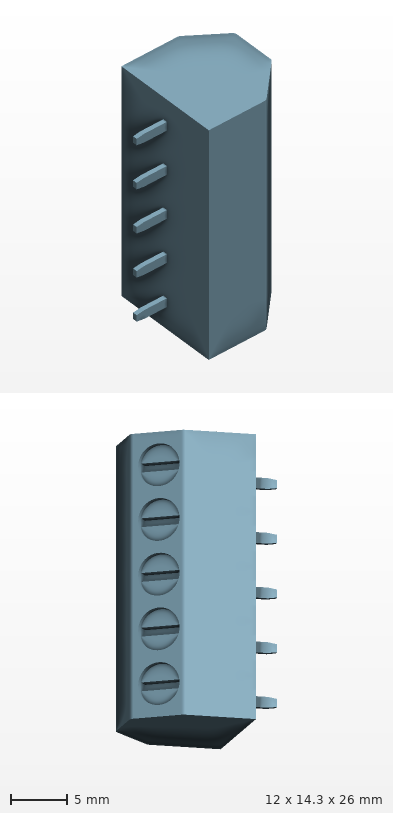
import cadquery as cq
import math

width = 12.0
length = 26.0
overall_depth = 14.3
depth = 10.8
corner_radius = 0.52
bevel_foot = 6.7
bevel_angle = 45.0
screw_bevel_foot = 6.68
screw_bevel_angle = 55.0

pole_count = 5
pole_pitch = 5.0

screw_diameter = 3.9
screw_y = 8.58
screw_recess = 0.68
slot_width = 0.8
slot_depth = 1.0

pin_length = overall_depth - depth
pin_thickness = 0.5
pin_height = 1.0
pin_tip_height = 0.73
pin_taper_length = 0.85

bevel_slope = math.radians(bevel_angle)
screw_bevel_slope = math.radians(screw_bevel_angle)


def make_housing():
    """Prism with two bevelled sides and rounded long edges at the bevels."""
    bevel_run = (depth - bevel_foot) / math.tan(bevel_slope)
    screw_bevel_run = (depth - screw_bevel_foot) / math.tan(screw_bevel_slope)
    outline = [
        (-width / 2, 0),
        (width / 2, 0),
        (width / 2, bevel_foot),
        (width / 2 - bevel_run, depth),
        (-width / 2 + screw_bevel_run, depth),
        (-width / 2, screw_bevel_foot),
    ]
    prism = cq.Workplane("XY").polyline(outline).close().extrude(length / 2, both=True)
    return prism.edges("|Z").edges("not <Y").fillet(corner_radius)


def make_screw_recess(z):
    """Cutter for a round recess, square to the bevel, with a driver slot in its floor."""
    face_x = -width / 2 + (screw_y - screw_bevel_foot) / math.tan(screw_bevel_slope)
    inward = (math.sin(screw_bevel_slope), -math.cos(screw_bevel_slope), 0)
    face = cq.Workplane(cq.Plane(origin=(face_x, screw_y, z), xDir=(0, 0, 1), normal=inward))
    slot_bottom = screw_recess + slot_depth
    recess = face.circle(screw_diameter / 2).extrude(screw_recess)
    bore = face.circle(screw_diameter / 2).extrude(slot_bottom)
    slot = face.rect(slot_width, screw_diameter).extrude(slot_bottom).intersect(bore)
    return recess.union(slot)


def make_pin(z):
    """Flat pin along -Y whose end narrows in height towards the tip."""
    taper_start = pin_taper_length - pin_length
    outline = [
        (0, pin_height / 2),
        (taper_start, pin_height / 2),
        (-pin_length, pin_tip_height / 2),
        (-pin_length, -pin_tip_height / 2),
        (taper_start, -pin_height / 2),
        (0, -pin_height / 2),
    ]
    pin = cq.Workplane("YZ").polyline(outline).close().extrude(pin_thickness / 2, both=True)
    return pin.translate((0, 0, z))


result = make_housing()
for pole in range(pole_count):
    pole_z = (pole - (pole_count - 1) / 2) * pole_pitch
    result = result.cut(make_screw_recess(pole_z))
    result = result.union(make_pin(pole_z))